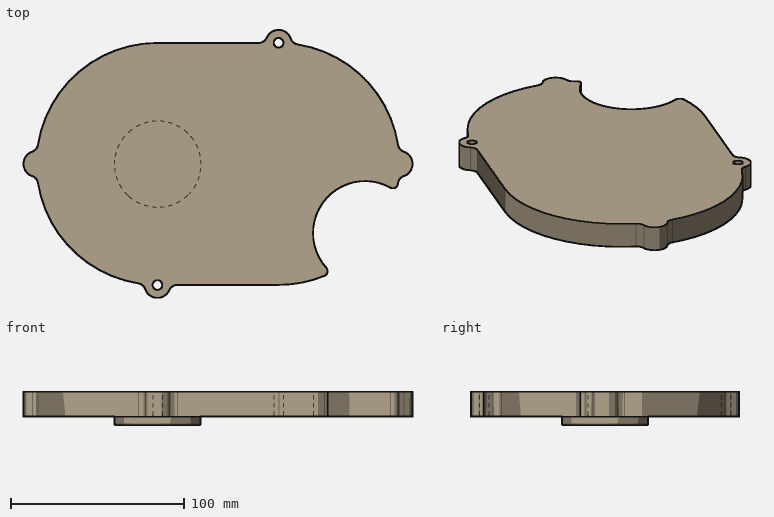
import cadquery as cq
import math

end_radius = 70.0
end_offset = 35.0
plate_thickness = 14.5

ear_radius = 7.5
ear_blend_radius = 5.0
hole_diameter = 5.5
drilled_ears = [(end_offset, end_radius), (-end_offset, -end_radius)]
plain_ears = [(end_offset + end_radius, 0.0), (-end_offset - end_radius, 0.0)]

cutout_center = (85.0, -40.0)
cutout_radius = 30.0
tip_radius = 3.0

boss_center = (-end_offset, 0.0)
boss_radius = 25.0
boss_height = 5.0
boss_edge_radius = 1.0

tolerance = 0.01


def make_cylinder(center, radius, height):
    """Upright cylinder from Z = 0 to the given height, which may be negative."""
    return cq.Workplane("XY").center(*center).circle(radius).extrude(height)


def round_edges_on_circle(body, center, radius, fillet_radius):
    """Fillet the upright edges that lie at the given radius from a centre."""

    def lies_on_circle(edge):
        middle = edge.Center()
        distance = math.hypot(middle.x - center[0], middle.y - center[1])
        return abs(distance - radius) < tolerance

    corners = body.edges("|Z").filter(lies_on_circle)
    return corners.fillet(fillet_radius)


def make_plate():
    """Slot-shaped plate standing on Z = 0."""
    slot_length = 2 * (end_offset + end_radius)
    return cq.Workplane("XY").slot2D(slot_length, 2 * end_radius).extrude(plate_thickness)


def add_ear(body, center):
    """Add one ear and blend its two inside corners into the rim."""
    ear = make_cylinder(center, ear_radius, plate_thickness)
    joined = body.union(ear)
    return round_edges_on_circle(joined, center, ear_radius, ear_blend_radius)


def cut_rim(body):
    """Cut the round opening through the rim and round the two tips."""
    opening = make_cylinder(cutout_center, cutout_radius, plate_thickness)
    return round_edges_on_circle(body.cut(opening), cutout_center, cutout_radius, tip_radius)


def drill_ears(body):
    """Drill the screw holes straight through the plate."""
    for center in drilled_ears:
        body = body.cut(make_cylinder(center, hole_diameter / 2, plate_thickness))
    return body


def add_boss(body):
    """Add the round boss below the plate, with its lower rim rounded."""
    boss = make_cylinder(boss_center, boss_radius, -boss_height)
    return body.union(boss.faces("<Z").edges().fillet(boss_edge_radius))


plate = make_plate()
for ear_center in drilled_ears + plain_ears:
    plate = add_ear(plate, ear_center)
plate = cut_rim(plate)
plate = drill_ears(plate)
result = add_boss(plate)